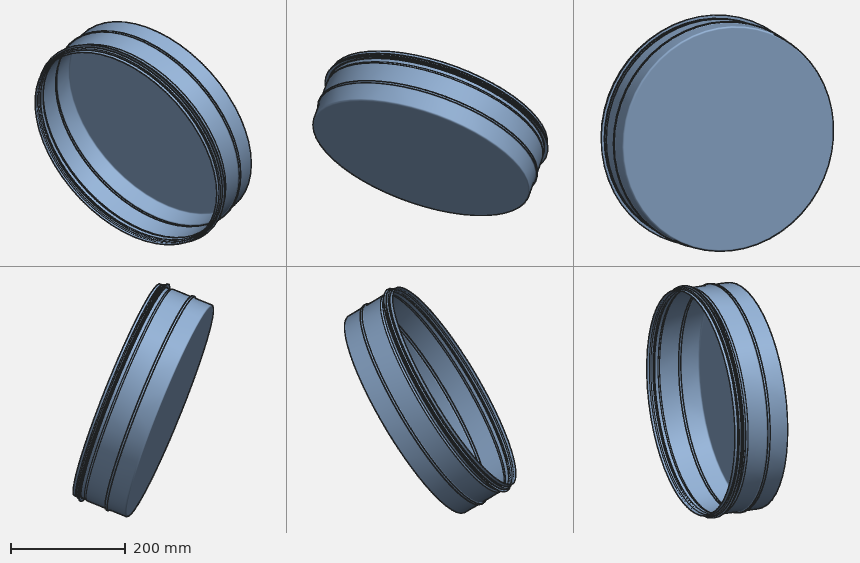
import cadquery as cq
import math

depth = 101.0
outer_radius = 399.0 / 2
sheet = 0.6
corner_radius = 3.05

bead_radius = 404.3 / 2
bead_center = 64.0
crown_half_width = 2.5
bead_flare_radius = 1.5
bead_half_width = crown_half_width + bead_flare_radius

neck_radius = 395.3 / 2
shoulder_front = 21.3
shoulder_back = 25.0

hem_radius = (outer_radius - neck_radius + sheet) / 2
hem_center_radius = outer_radius - hem_radius
hem_end = 5.5

gasket_back = 15.0
band_radius = outer_radius - sheet
tall_lip_radius = 409 / 2
tall_lip_width = 1.2
tall_lip_front = gasket_back - tall_lip_width
short_lip_radius = 404.3 / 2
short_lip_back = 12.0
short_lip_front = 10.5
taper_radius = 402.0 / 2
taper_front = 7.8

diagonal = math.sqrt(0.5)


def revolve_about_y(profile):
    """Turn a closed radius-height profile fully around the Y axis."""
    return profile.close().revolve(360, (0, 0, 0), (0, 1, 0))


def shell_body(inset):
    """Solid behind the hem, bounded by the cap's outer skin moved inward by the inset."""
    wall = outer_radius - inset
    neck = neck_radius - inset
    back = depth - inset
    flare = bead_flare_radius + inset
    flare_center_radius = outer_radius + bead_flare_radius
    flare_mid_radius = flare_center_radius - flare * diagonal
    flare_mid_y = bead_half_width - flare * diagonal
    crown_edge_y = crown_half_width - inset
    corner = corner_radius - inset
    corner_center_y = depth - corner_radius
    corner_center_radius = outer_radius - corner_radius
    profile = (
        cq.Workplane("XY")
        .moveTo(0, hem_radius)
        .lineTo(neck, hem_radius)
        .lineTo(neck, shoulder_front)
        .lineTo(wall, shoulder_back)
        .lineTo(wall, bead_center - bead_half_width)
        .threePointArc(
            (flare_mid_radius, bead_center - flare_mid_y),
            (flare_center_radius, bead_center - crown_edge_y),
        )
        .threePointArc(
            (bead_radius - inset, bead_center),
            (flare_center_radius, bead_center + crown_edge_y),
        )
        .threePointArc(
            (flare_mid_radius, bead_center + flare_mid_y),
            (wall, bead_center + bead_half_width),
        )
        .lineTo(wall, corner_center_y)
        .threePointArc(
            (corner_center_radius + corner * diagonal, corner_center_y + corner * diagonal),
            (corner_center_radius, back),
        )
        .lineTo(0, back)
    )
    return revolve_about_y(profile)


def make_hem():
    """U-shaped fold of the sheet around the mouth."""
    inner_fold = hem_radius - sheet
    profile = (
        cq.Workplane("XY")
        .moveTo(hem_center_radius - hem_radius, hem_end)
        .lineTo(hem_center_radius - hem_radius, hem_radius)
        .threePointArc((hem_center_radius, 0), (outer_radius, hem_radius))
        .lineTo(outer_radius, hem_end)
        .lineTo(outer_radius - sheet, hem_end)
        .lineTo(outer_radius - sheet, hem_radius)
        .threePointArc((hem_center_radius, hem_radius - inner_fold), (neck_radius, hem_radius))
        .lineTo(neck_radius, hem_end)
    )
    return revolve_about_y(profile)


def make_cap():
    shell = shell_body(0).cut(shell_body(sheet))
    return shell.union(make_hem())


def make_gasket():
    """Ring seated on the neck, just behind the hem."""
    profile = (
        cq.Workplane("XY")
        .moveTo(neck_radius, taper_front)
        .lineTo(taper_radius, taper_front)
        .lineTo(short_lip_radius, short_lip_front)
        .lineTo(short_lip_radius, short_lip_back)
        .lineTo(band_radius, short_lip_back)
        .lineTo(band_radius, tall_lip_front)
        .lineTo(tall_lip_radius, tall_lip_front)
        .lineTo(tall_lip_radius, gasket_back)
        .lineTo(neck_radius, gasket_back)
    )
    return revolve_about_y(profile)


cap = make_cap()
gasket = make_gasket()
result = cq.Compound.makeCompound([cap.val(), gasket.val()])